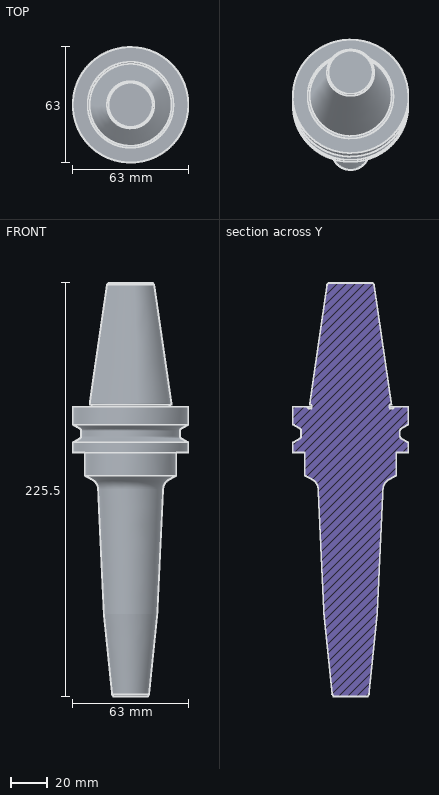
import cadquery as cq
import math

TOTAL_LENGTH = 225.5

TAPER_LENGTH = 65.4
TAPER_RADIUS = 22.3
TAPER_RATE = 7 / 24 / 2
TAPER_TOP_CHAMFER = 1.0

FLANGE_RADIUS = 31.5
FLANGE_TOP = -2.0
FLANGE_BOTTOM = -27.0
GROOVE_RADIUS = 27.0
GROOVE_CENTER = -16.7
GROOVE_FLOOR_WIDTH = 4.5
GROOVE_FILLET = 1.0
FLANK_ANGLE = 30.0

RELIEF_RADIUS = 23.5
RELIEF_START = -1.0
RELIEF_DEPTH = 1.1

COLLAR_RADIUS = 25.0
COLLAR_BOTTOM = -39.7
SHOULDER_RADIUS = 21.2
SHOULDER_BOTTOM = -41.7

NECK_RADIUS = 17.8
NECK_TOP = -46.9
NOSE_RADIUS = 14.7
NOSE_TOP = -115.0
TIP_RADIUS = 10.1
TIP_CHAMFER_HEIGHT = 1.4
TIP_CHAMFER_WIDTH = 0.7

taper_top_radius = TAPER_RADIUS - TAPER_LENGTH * TAPER_RATE
chamfer_start_radius = taper_top_radius + TAPER_TOP_CHAMFER * TAPER_RATE
flank_height = (FLANGE_RADIUS - GROOVE_RADIUS) * math.tan(math.radians(FLANK_ANGLE))
relief_mid = (TAPER_RADIUS, FLANGE_TOP - RELIEF_DEPTH)
groove_floor_top = GROOVE_CENTER + GROOVE_FLOOR_WIDTH / 2
groove_floor_bottom = GROOVE_CENTER - GROOVE_FLOOR_WIDTH / 2
tip_bottom = TAPER_LENGTH - TOTAL_LENGTH

blend_rise = SHOULDER_BOTTOM - NECK_TOP
blend_run = SHOULDER_RADIUS - NECK_RADIUS
neck_angle = math.atan2(NECK_RADIUS - NOSE_RADIUS, NECK_TOP - NOSE_TOP)
chord_angle = math.atan2(blend_run, blend_rise)
half_chord = math.hypot(blend_run, blend_rise) / 2
blend_sag = half_chord * math.tan((chord_angle - neck_angle) / 2)
blend_mid = (
    (SHOULDER_RADIUS + NECK_RADIUS) / 2 - blend_sag * math.cos(chord_angle),
    (SHOULDER_BOTTOM + NECK_TOP) / 2 + blend_sag * math.sin(chord_angle),
)

section = (
    cq.Workplane("XZ")
    .moveTo(0, TAPER_LENGTH)
    .lineTo(chamfer_start_radius - TAPER_TOP_CHAMFER, TAPER_LENGTH)
    .lineTo(chamfer_start_radius, TAPER_LENGTH - TAPER_TOP_CHAMFER)
    .lineTo(TAPER_RADIUS, 0)
    .lineTo(TAPER_RADIUS, RELIEF_START)
    .threePointArc(relief_mid, (RELIEF_RADIUS, FLANGE_TOP))
    .lineTo(FLANGE_RADIUS, FLANGE_TOP)
    .lineTo(FLANGE_RADIUS, groove_floor_top + flank_height)
    .lineTo(GROOVE_RADIUS, groove_floor_top)
    .lineTo(GROOVE_RADIUS, groove_floor_bottom)
    .lineTo(FLANGE_RADIUS, groove_floor_bottom - flank_height)
    .lineTo(FLANGE_RADIUS, FLANGE_BOTTOM)
    .lineTo(COLLAR_RADIUS, FLANGE_BOTTOM)
    .lineTo(COLLAR_RADIUS, COLLAR_BOTTOM)
    .lineTo(SHOULDER_RADIUS, SHOULDER_BOTTOM)
    .threePointArc(blend_mid, (NECK_RADIUS, NECK_TOP))
    .lineTo(NOSE_RADIUS, NOSE_TOP)
    .lineTo(TIP_RADIUS, tip_bottom + TIP_CHAMFER_HEIGHT)
    .lineTo(TIP_RADIUS - TIP_CHAMFER_WIDTH, tip_bottom)
    .lineTo(0, tip_bottom)
    .close()
)

body = section.revolve(360, (0, 0, 0), (0, 1, 0))

floor_corners = cq.selectors.BoxSelector(
    (-2.3, -2.3, groove_floor_bottom - GROOVE_FILLET / 2),
    (2.3, 2.3, groove_floor_top + GROOVE_FILLET / 2),
)
result = body.edges("%CIRCLE").edges(floor_corners).fillet(GROOVE_FILLET)